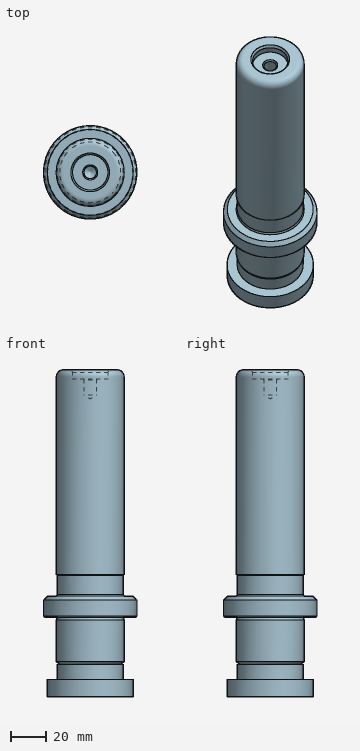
import cadquery as cq
import math

disc_radius = 24.5
disc_height = 10.0
disc_chamfer = 0.4

pin_radius = 19.2
neck_radius = 18.7
groove_radius = 17.2
collar_radius = 26.5

total_height = 185.0
groove_bottom = 18.5
groove_top = 20.0
collar_bottom = 45.0
collar_height = 12.0
collar_top = collar_bottom + collar_height
upper_neck_top = 69.4

shank_chamfer_height = 1.3
collar_top_chamfer = 2.2
collar_bottom_chamfer = 0.7
collar_flare_height = 1.1
upper_edge_chamfer = pin_radius - neck_radius
tip_round = 4.0

recess_radius = 10.0
recess_depth = 5.2
recess_chamfer_width = 1.0
recess_chamfer_height = 1.5
hole_radius = 3.5
hole_chamfer = 0.7
hole_depth = 9.2
drill_point_angle = 118.0


def make_disc():
    """Flat retaining disc with a light chamfer around its bottom edge."""
    disc = cq.Workplane("XY").circle(disc_radius).extrude(disc_height)
    return disc.faces("<Z").edges().chamfer(disc_chamfer)


def make_pin_blank():
    """Turned pin: lower neck, groove, shank, collar, upper neck and guide length."""
    tip_arc_offset = tip_round * math.sqrt(0.5)
    tip_arc_radius = pin_radius - tip_round
    tip_arc_level = total_height - tip_round
    profile = (
        cq.Workplane("XZ")
        .moveTo(0, disc_height)
        .lineTo(neck_radius, disc_height)
        .lineTo(neck_radius, groove_bottom)
        .lineTo(groove_radius, groove_bottom)
        .lineTo(pin_radius, groove_top)
        .lineTo(pin_radius, collar_bottom - shank_chamfer_height)
        .lineTo(neck_radius, collar_bottom)
        .lineTo(collar_radius - collar_bottom_chamfer, collar_bottom)
        .lineTo(collar_radius, collar_bottom + collar_bottom_chamfer)
        .lineTo(collar_radius, collar_top - collar_top_chamfer)
        .lineTo(collar_radius - collar_top_chamfer, collar_top)
        .lineTo(pin_radius, collar_top)
        .lineTo(neck_radius, collar_top + collar_flare_height)
        .lineTo(neck_radius, upper_neck_top - upper_edge_chamfer)
        .lineTo(pin_radius, upper_neck_top)
        .lineTo(pin_radius, tip_arc_level)
        .threePointArc(
            (tip_arc_radius + tip_arc_offset, tip_arc_level + tip_arc_offset),
            (tip_arc_radius, total_height),
        )
        .lineTo(0, total_height)
        .close()
    )
    return profile.revolve(360, (0, 0, 0), (0, 1, 0))


def make_tip_cavity():
    """Chamfered recess with a smaller, pointed centre hole in its floor."""
    recess_floor = total_height - recess_depth
    hole_end = recess_floor - hole_depth
    point_depth = hole_radius / math.tan(math.radians(drill_point_angle / 2))
    profile = (
        cq.Workplane("XZ")
        .moveTo(0, total_height)
        .lineTo(recess_radius + recess_chamfer_width, total_height)
        .lineTo(recess_radius, total_height - recess_chamfer_height)
        .lineTo(recess_radius, recess_floor)
        .lineTo(hole_radius + hole_chamfer, recess_floor)
        .lineTo(hole_radius, recess_floor - hole_chamfer)
        .lineTo(hole_radius, hole_end)
        .lineTo(0, hole_end - point_depth)
        .close()
    )
    return profile.revolve(360, (0, 0, 0), (0, 1, 0))


retaining_disc = make_disc()
guide_pin = make_pin_blank().cut(make_tip_cavity())

result = cq.Compound.makeCompound([retaining_disc.val(), guide_pin.val()])